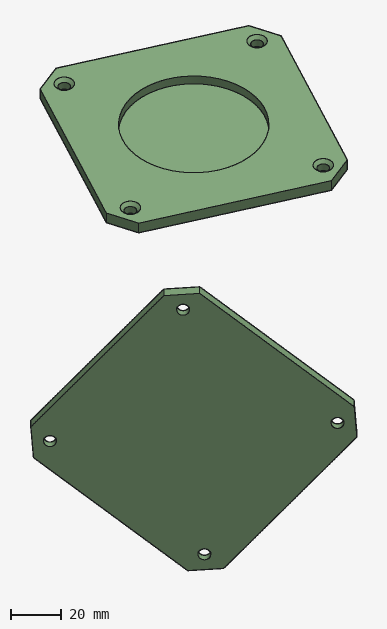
import cadquery as cq

plate_side = 100.0
plate_thickness = 5.0
corner_cut = 10.0

recess_diameter = 59.0
recess_depth = 4.0

hole_spacing = 80.0
hole_diameter = 5.0
countersink_diameter = 8.0
countersink_angle = 90.0


def make_plate():
    """Square plate with its four vertical corners cut at 45 degrees."""
    plate = cq.Workplane("XY").box(
        plate_side, plate_side, plate_thickness, centered=(True, True, False)
    )
    return plate.edges("|Z").chamfer(corner_cut)


def cut_recess(body):
    """Blind round recess at the centre of the top face."""
    return body.faces(">Z").workplane().circle(recess_diameter / 2).cutBlind(-recess_depth)


def cut_screw_holes(body):
    """Through holes on a square pattern, countersunk from the top face."""
    top = body.faces(">Z").workplane(origin=(0, 0, plate_thickness))
    hole_centres = top.rect(hole_spacing, hole_spacing, forConstruction=True).vertices()
    return hole_centres.cskHole(hole_diameter, countersink_diameter, countersink_angle)


result = cut_screw_holes(cut_recess(make_plate()))